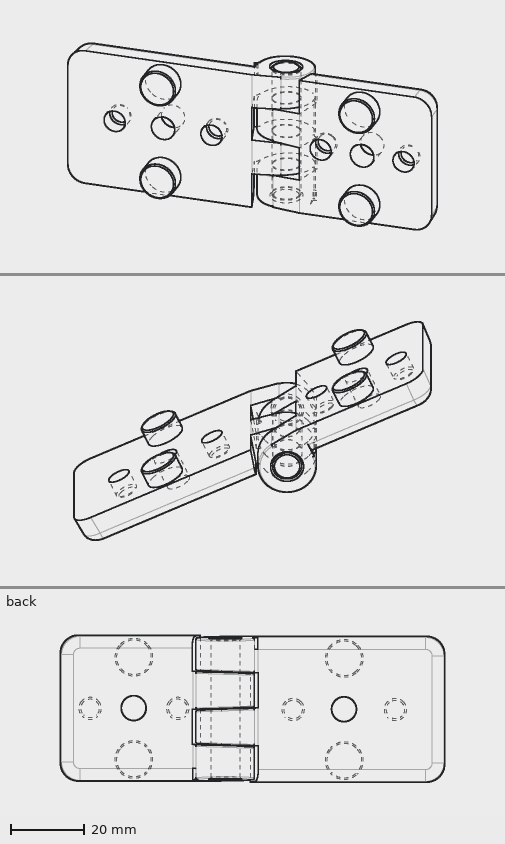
import cadquery as cq
import math


LEFT_LENGTH = 60.0
RIGHT_LENGTH = 45.1
PLATE_THICKNESS = 8.4
OVERALL_HEIGHT = 40.2
LEAF_STAGGER = 0.3
LEAF_HEIGHT = OVERALL_HEIGHT - LEAF_STAGGER
MOUNT_EDGE = 6.8
CORNER_RADIUS = 5.0
BACK_FILLET = 3.3
DRAFT = 3.0

AXIS_Y = 9.0
BARREL_RADIUS = 8.0
KNUCKLE_PITCH = 10.0
KNUCKLE_GAP = 0.2
KNUCKLE_TAPER = 2.0
KNUCKLE_FILLET = 0.4
ROOT_FILLET = 0.9
RELIEF_BACK_EDGE = 9.0

PIN_RADIUS = 4.0
PIN_CHAMFER = 0.5
BORE_CHAMFER = 0.5
PIN_LENGTH = 38.3

LEFT_HOLE_X = 32.5
RIGHT_HOLE_X = 25.0
LEFT_SIDE_HOLE_SPACING = 14.0
RIGHT_SIDE_HOLE_SPACING = 12.0
THROUGH_HOLE_RADIUS = 3.4
SIDE_HOLE_RADIUS = 3.0
SIDE_HOLE_CHAMFER = 0.5
SIDE_HOLE_DEPTH = 5.3
STUD_RADIUS = 5.1
STUD_LENGTH = 4.9
STUD_CHAMFER = 0.4
STUD_Z = 14.0

LEAF_MIDDLE_Z = -LEAF_STAGGER / 2
REACH = 3 * BARREL_RADIUS


def drafted_block(x_start, x_end, depth):
    """Block on the mounting plane whose side walls lean inwards towards +Y."""
    return (
        cq.Workplane("ZX")
        .center(LEAF_MIDDLE_Z, (x_start + x_end) / 2)
        .rect(LEAF_HEIGHT, x_end - x_start)
        .extrude(depth, taper=DRAFT)
    )


def make_plate(length):
    """Plate with rounded corners at its far end and a rounded back."""
    blank = drafted_block(-length, REACH, PLATE_THICKNESS)
    blank = blank.faces("<X").edges("not |Z").fillet(CORNER_RADIUS)
    blank = blank.faces(">Y").edges("not >X").fillet(BACK_FILLET)
    inner_end = cq.Workplane("XY").box(
        2 * REACH, 2 * REACH, 2 * OVERALL_HEIGHT, centered=(False, True, True)
    )
    return blank.cut(inner_end.translate((-MOUNT_EDGE, 0, 0)))


def make_root():
    """Drafted bar that joins the barrels to the plate: a ramp in front, a blended wall behind."""
    ramp_span = math.hypot(MOUNT_EDGE, AXIS_Y)
    ramp_angle = math.atan2(AXIS_Y, MOUNT_EDGE) - math.asin(BARREL_RADIUS / ramp_span)
    ramp_end = (BARREL_RADIUS * math.sin(ramp_angle), AXIS_Y - BARREL_RADIUS * math.cos(ramp_angle))

    blend_y = PLATE_THICKNESS + ROOT_FILLET
    blend_angle = math.asin((blend_y - AXIS_Y) / (BARREL_RADIUS + ROOT_FILLET))
    blend_x = -(BARREL_RADIUS + ROOT_FILLET) * math.cos(blend_angle)
    blend_start = (-BARREL_RADIUS * math.cos(blend_angle), AXIS_Y + BARREL_RADIUS * math.sin(blend_angle))
    blend_middle = (blend_x + ROOT_FILLET / math.sqrt(2), blend_y - ROOT_FILLET / math.sqrt(2))
    outline = (
        cq.Workplane("XY")
        .moveTo(-MOUNT_EDGE, 0)
        .lineTo(*ramp_end)
        .lineTo(0, AXIS_Y)
        .lineTo(*blend_start)
        .threePointArc(blend_middle, (blend_x, PLATE_THICKNESS))
        .lineTo(-BARREL_RADIUS, PLATE_THICKNESS)
        .lineTo(-BARREL_RADIUS, 0)
        .close()
        .extrude(OVERALL_HEIGHT, both=True)
    )
    return drafted_block(-REACH, REACH, REACH).intersect(outline)


def relief(upper, lower):
    """Space for one knuckle of the other leaf, widening towards +X; heights are those at X = 0."""
    spread = REACH * math.tan(math.radians(KNUCKLE_TAPER))
    opening = (
        cq.Workplane("XZ")
        .polyline([
            (-REACH, lower + spread),
            (REACH, lower - spread),
            (REACH, upper + spread),
            (-REACH, upper - spread),
        ])
        .close()
        .extrude(REACH, both=True)
    )
    wall_slope = (RELIEF_BACK_EDGE - MOUNT_EDGE) / PLATE_THICKNESS
    region = (
        cq.Workplane("XY")
        .polyline([
            (-MOUNT_EDGE + REACH * wall_slope, -REACH),
            (REACH, -REACH),
            (REACH, REACH),
            (-MOUNT_EDGE - REACH * wall_slope, REACH),
        ])
        .close()
        .extrude(2 * OVERALL_HEIGHT, both=True)
    )
    return opening.intersect(region)


def cut_reliefs(body):
    """Clear the second and fourth places from the top for the other leaf's knuckles."""
    half_gap = KNUCKLE_GAP / 2
    body = body.cut(relief(KNUCKLE_PITCH + half_gap, -half_gap))
    return body.cut(relief(-KNUCKLE_PITCH + half_gap, -OVERALL_HEIGHT))


def make_barrels():
    """The two barrels of a leaf, with rounded rims."""
    barrel = cq.Workplane("XY").center(0, AXIS_Y).circle(BARREL_RADIUS).extrude(OVERALL_HEIGHT, both=True)
    barrel = barrel.intersect(drafted_block(-REACH, REACH, REACH))
    return cut_reliefs(barrel).edges("not |Z").fillet(KNUCKLE_FILLET)


def make_leaf(length, hole_x, side_hole_spacing):
    """Leaf on the -X side, with the first and third knuckles from the top."""
    leaf = cut_reliefs(make_plate(length).union(make_root())).union(make_barrels())

    pin_bore = cq.Workplane("XY").center(0, AXIS_Y).circle(PIN_RADIUS).extrude(OVERALL_HEIGHT, both=True)
    leaf = leaf.cut(pin_bore)
    bore_mouth = cq.selectors.BoxSelector(
        (-PIN_RADIUS / 2, AXIS_Y - PIN_RADIUS / 2, 1.5 * KNUCKLE_PITCH),
        (PIN_RADIUS / 2, AXIS_Y + PIN_RADIUS / 2, OVERALL_HEIGHT / 2),
    )
    leaf = leaf.edges(bore_mouth).chamfer(BORE_CHAMFER)

    middle_hole = (
        cq.Workplane("ZX")
        .center(LEAF_MIDDLE_Z, -hole_x)
        .circle(THROUGH_HOLE_RADIUS)
        .extrude(PLATE_THICKNESS)
    )
    leaf = leaf.cut(middle_hole)
    for side in (-1, 1):
        side_hole = (
            cq.Workplane("ZX")
            .center(LEAF_MIDDLE_Z, -hole_x + side * side_hole_spacing)
            .circle(SIDE_HOLE_RADIUS)
            .extrude(SIDE_HOLE_DEPTH)
            .faces(">Y")
            .chamfer(SIDE_HOLE_CHAMFER)
        )
        leaf = leaf.cut(side_hole)
    return leaf


def make_stud(x, z):
    """Round stud standing out from a mounting face."""
    return (
        cq.Workplane("XZ")
        .center(x, z)
        .circle(STUD_RADIUS)
        .extrude(STUD_LENGTH)
        .faces("<Y")
        .chamfer(STUD_CHAMFER)
    )


def half_turn(leaf):
    """Turn a leaf over to the +X side."""
    return leaf.rotate((0, 0, 0), (0, 1, 0), 180)


left_leaf = make_leaf(LEFT_LENGTH, LEFT_HOLE_X, LEFT_SIDE_HOLE_SPACING)
right_leaf = half_turn(make_leaf(RIGHT_LENGTH, RIGHT_HOLE_X, RIGHT_SIDE_HOLE_SPACING))

pin = (
    cq.Workplane("XY")
    .center(0, AXIS_Y)
    .circle(PIN_RADIUS)
    .extrude(PIN_LENGTH / 2, both=True)
    .faces("<Z or >Z")
    .chamfer(PIN_CHAMFER)
)

studs = []
for stud_x, leaf_z in ((-LEFT_HOLE_X, LEAF_MIDDLE_Z), (RIGHT_HOLE_X, -LEAF_MIDDLE_Z)):
    for side in (-1, 1):
        studs.append(make_stud(stud_x, leaf_z + side * STUD_Z))

result = cq.Compound.makeCompound(
    [left_leaf.val(), right_leaf.val(), pin.val()] + [stud.val() for stud in studs]
)